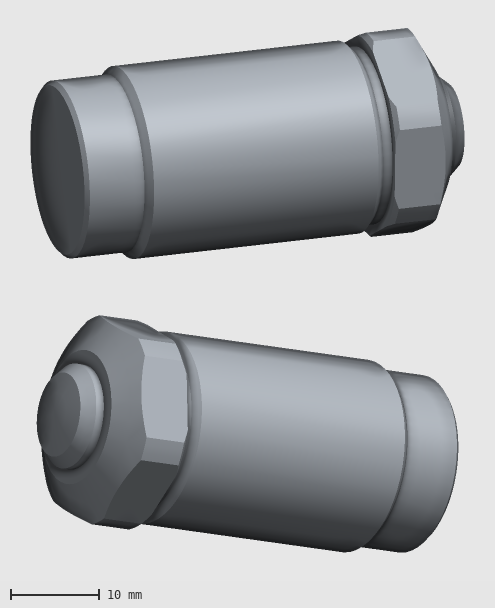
import cadquery as cq

TOTAL_LENGTH = 47.5
REAR_Y = -TOTAL_LENGTH / 2
TIP_Y = TOTAL_LENGTH / 2

BUTTON_RADIUS = 6.0
BUTTON_HEIGHT = 3.0
BUTTON_RIM_HEIGHT = 1.0
DOME_RADIUS = 4.8
DOME_HEIGHT = 0.6

HEAD_LENGTH = 8.0
HEAD_ACROSS_FLATS = 22.0
HEAD_TURNED_DIAMETER = 24.0
HEAD_TILT = 2.3
HEAD_FACE_RADIUS = 7.65
HEAD_CONE_LENGTH = 2.5
HEAD_CHAMFER = 0.5

SHANK_RADIUS = 10.95
NECK_RADIUS = 10.1
NECK_LENGTH = 1.1
SPIGOT_LENGTH = 7.0
SPIGOT_CHAMFER = 0.48
BEVEL = SHANK_RADIUS - NECK_RADIUS

HEAD_CORNER_RADIUS = HEAD_TURNED_DIAMETER / 2
HEAD_FRONT_Y = TIP_Y - BUTTON_HEIGHT
HEAD_REAR_Y = HEAD_FRONT_Y - HEAD_LENGTH
NECK_REAR_Y = HEAD_REAR_Y - NECK_LENGTH
SPIGOT_FRONT_Y = REAR_Y + SPIGOT_LENGTH


def revolve_profile(profile):
    """Revolve a closed (radius, y) profile fully about the Y axis."""
    return profile.close().revolve(360, (0, 0, 0), (0, 1, 0))


def make_head():
    """Hexagonal prism cut to a turned blank with a front cone and rear chamfer."""
    hexagon = (
        cq.Workplane("XZ", origin=(0, HEAD_FRONT_Y, 0))
        .polygon(6, HEAD_ACROSS_FLATS, circumscribed=True)
        .extrude(HEAD_LENGTH)
        .rotate((0, 0, 0), (0, 1, 0), HEAD_TILT)
    )
    blank = revolve_profile(
        cq.Workplane("XY").polyline([
            (0, HEAD_REAR_Y),
            (HEAD_CORNER_RADIUS - HEAD_CHAMFER, HEAD_REAR_Y),
            (HEAD_CORNER_RADIUS, HEAD_REAR_Y + HEAD_CHAMFER),
            (HEAD_CORNER_RADIUS, HEAD_FRONT_Y - HEAD_CONE_LENGTH),
            (HEAD_FACE_RADIUS, HEAD_FRONT_Y),
            (0, HEAD_FRONT_Y),
        ])
    )
    return hexagon.intersect(blank)


def make_shank():
    """Stepped shank: rear spigot, bevelled main cylinder and neck under the head."""
    return revolve_profile(
        cq.Workplane("XY").polyline([
            (0, REAR_Y),
            (NECK_RADIUS - SPIGOT_CHAMFER, REAR_Y),
            (NECK_RADIUS, REAR_Y + SPIGOT_CHAMFER),
            (NECK_RADIUS, SPIGOT_FRONT_Y),
            (SHANK_RADIUS, SPIGOT_FRONT_Y + BEVEL),
            (SHANK_RADIUS, NECK_REAR_Y - BEVEL),
            (NECK_RADIUS, NECK_REAR_Y),
            (NECK_RADIUS, HEAD_REAR_Y),
            (0, HEAD_REAR_Y),
        ])
    )


def make_housing():
    """Shank and hexagonal head in one piece."""
    return make_shank().union(make_head())


def make_button():
    """Domed button with a conical shoulder, seated on the head's front face."""
    sphere_radius = (DOME_RADIUS**2 + DOME_HEIGHT**2) / (2 * DOME_HEIGHT)
    return revolve_profile(
        cq.Workplane("XY")
        .moveTo(0, HEAD_FRONT_Y)
        .lineTo(BUTTON_RADIUS, HEAD_FRONT_Y)
        .lineTo(BUTTON_RADIUS, HEAD_FRONT_Y + BUTTON_RIM_HEIGHT)
        .lineTo(DOME_RADIUS, TIP_Y - DOME_HEIGHT)
        .radiusArc((0, TIP_Y), -sphere_radius)
    )


housing = make_housing()
button = make_button()

result = cq.Compound.makeCompound([housing.val(), button.val()])